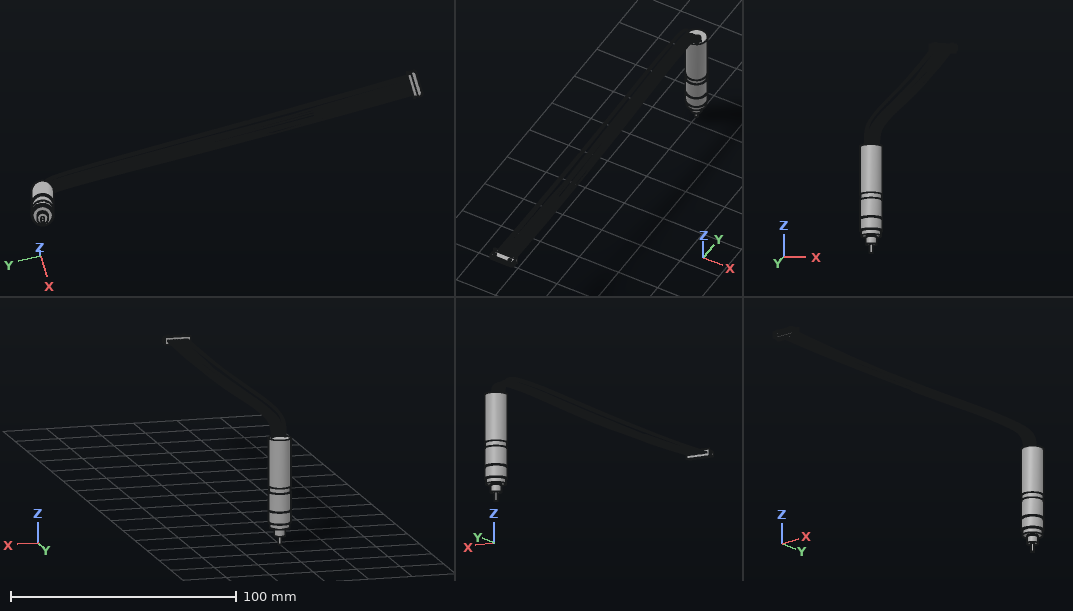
import cadquery as cq
import math

HOUSING_DIAMETER = 10.0
BAND_DIAMETER = 9.7
GROOVE_DIAMETER = 9.1
FLANGE_DIAMETER = 9.0
BOSS_DIAMETER = 5.0
NECK_DIAMETER = 4.5
SHAFT_DIAMETER = 1.5

MOTOR_TOP = 48.5
BAND_TOP = 26.5
BAND_BOTTOM = 24.2
GROOVE_TOP = 15.7
GROOVE_BOTTOM = 15.4
FLANGE_TOP = 9.8
FLANGE_BOTTOM = 7.7
BOSS_TOP = 7.2
BOSS_BOTTOM = 4.0
LOWER_BEVEL = 0.4

OVERALL_LENGTH = 179.0
WIRE_COUNT = 8
WIRE_DIAMETER = 0.5
WIRE_ARC_RADIUS = 3.5
WIRE_ARC_ANGLE = 120.0
WIRE_PITCH = 1.3
BEND_Y = -7.2
CREST_Y = -29.5
SLOPE_Y = -46.5
SAG_Y = -98.5
FAN_Y = -143.2
LOW_CREST = 7.2
HIGH_CREST = 9.7
LOW_SAG = 2.7
HIGH_SAG = 6.3
WIRE_LIFTS = [0.6, 1.0, 0.0, 0.4, 0.6, 0.4, 0.3, 0.1]

PLUG_DEPTH = 4.1
COLLAR_WIDTH = 11.8
COLLAR_DEPTH = 0.9
COLLAR_RIM = 0.5
BODY_TOP = 55.7
BODY_BOTTOM = 53.3
STEP_DEPTH = 2.0
EAR_DEPTH = 1.6
EAR_SETBACK = 0.5
EAR_DROP = 0.5
LATCH_SIZE = 0.9
LATCH_HEIGHT = 0.5
LATCH_SETBACK = 0.5
LATCH_SPACING = 7.5
SOCKET_WIDTH = 0.9
SOCKET_HEIGHT = 1.5
SOCKET_DEPTH = 0.9
SOCKET_TAPER = 18.0
CONTACT_Z = 54.5
WIRE_INSERTION = 0.7

PLUG_FRONT = HOUSING_DIAMETER / 2 - OVERALL_LENGTH
PLUG_REAR = PLUG_FRONT + PLUG_DEPTH


def make_gearmotor():
    housing = HOUSING_DIAMETER / 2
    band = BAND_DIAMETER / 2
    band_depth = housing - band
    flange = FLANGE_DIAMETER / 2
    neck = NECK_DIAMETER / 2
    boss = BOSS_DIAMETER / 2
    shaft = SHAFT_DIAMETER / 2
    half_section = [
        (0, 0),
        (shaft, 0),
        (shaft, BOSS_BOTTOM),
        (boss, BOSS_BOTTOM),
        (boss, BOSS_TOP),
        (neck, BOSS_TOP),
        (neck, FLANGE_BOTTOM),
        (flange, FLANGE_BOTTOM),
        (flange, FLANGE_TOP),
        (housing - LOWER_BEVEL, FLANGE_TOP),
        (housing, FLANGE_TOP + LOWER_BEVEL),
        (housing, GROOVE_BOTTOM),
        (GROOVE_DIAMETER / 2, GROOVE_BOTTOM),
        (housing, GROOVE_TOP),
        (housing, BAND_BOTTOM - band_depth),
        (band, BAND_BOTTOM),
        (band, BAND_TOP),
        (housing, BAND_TOP),
        (housing, MOTOR_TOP),
        (0, MOTOR_TOP),
    ]
    return cq.Workplane("XZ").polyline(half_section).close().revolve(360, (0, 0), (0, 1))


def contact_x(index):
    return (index - (WIRE_COUNT - 1) / 2) * WIRE_PITCH


def block(width, x, y_front, depth, z_bottom, height):
    return cq.Workplane("XY").box(width, depth, height, centered=(True, False, False)).translate(
        (x, y_front, z_bottom)
    )


def make_collar():
    collar = block(
        COLLAR_WIDTH,
        0,
        PLUG_REAR - COLLAR_DEPTH,
        COLLAR_DEPTH,
        BODY_BOTTOM - COLLAR_RIM,
        BODY_TOP - BODY_BOTTOM + 2 * COLLAR_RIM,
    )
    return collar.faces("<Y").edges().chamfer(COLLAR_RIM)


def make_socket(index):
    face = cq.Workplane("XZ", origin=(contact_x(index), PLUG_FRONT, CONTACT_Z))
    return face.rect(SOCKET_WIDTH, SOCKET_HEIGHT).extrude(-SOCKET_DEPTH, taper=SOCKET_TAPER)


def make_plug():
    body_width = COLLAR_WIDTH - 2 * COLLAR_RIM
    body_height = BODY_TOP - BODY_BOTTOM
    plug = block(body_width, 0, PLUG_FRONT, PLUG_DEPTH, BODY_BOTTOM, body_height)
    step = block(
        body_width, 0, PLUG_REAR - STEP_DEPTH, STEP_DEPTH, BODY_BOTTOM - COLLAR_RIM, body_height
    )
    ears = block(
        COLLAR_WIDTH, 0, PLUG_FRONT + EAR_SETBACK, EAR_DEPTH, BODY_BOTTOM, body_height - EAR_DROP
    )
    plug = plug.union(step).union(ears).union(make_collar())

    for side in (-1, 1):
        latch = block(
            LATCH_SIZE,
            side * LATCH_SPACING / 2,
            PLUG_FRONT + LATCH_SETBACK,
            LATCH_SIZE,
            BODY_BOTTOM,
            body_height + LATCH_HEIGHT,
        )
        plug = plug.union(latch)

    for index in range(WIRE_COUNT):
        plug = plug.cut(make_socket(index))
    return plug


def make_wire(index):
    angle = math.radians((index / (WIRE_COUNT - 1) - 0.5) * WIRE_ARC_ANGLE)
    start_x = WIRE_ARC_RADIUS * math.sin(angle)
    start_y = -WIRE_ARC_RADIUS * math.cos(angle)
    end_x = contact_x(index)
    end_y = PLUG_REAR - WIRE_INSERTION
    crest_z = MOTOR_TOP + LOW_CREST + WIRE_LIFTS[index] * (HIGH_CREST - LOW_CREST)
    sag_z = MOTOR_TOP + LOW_SAG + WIRE_LIFTS[index] * (HIGH_SAG - LOW_SAG)

    def path_point(y, z):
        """A control point of the wire, moved sideways towards the wire's place in the plug."""
        fanned = min(1, (y - start_y) / (FAN_Y - start_y))
        x = start_x + (end_x - start_x) * fanned
        return cq.Vector(x, y, z)

    start = path_point(start_y, MOTOR_TOP)
    crest = path_point(CREST_Y, crest_z)
    bend = cq.Edge.makeBezier([start, path_point(start_y, crest_z), path_point(BEND_Y, crest_z), crest])
    slope = cq.Edge.makeBezier(
        [crest, path_point(SLOPE_Y, crest_z), path_point(SAG_Y, sag_z), path_point(end_y, CONTACT_Z)]
    )
    path = cq.Wire.assembleEdges([bend, slope])
    section = cq.Workplane("XY", origin=start.toTuple()).circle(WIRE_DIAMETER / 2)
    return section.sweep(cq.Workplane(path))


def make_cable():
    cable = make_plug()
    for index in range(WIRE_COUNT):
        cable = cable.union(make_wire(index))
    return cable


gearmotor = make_gearmotor()
cable = make_cable()
result = cq.Compound.makeCompound([gearmotor.val(), *cable.solids().vals()])